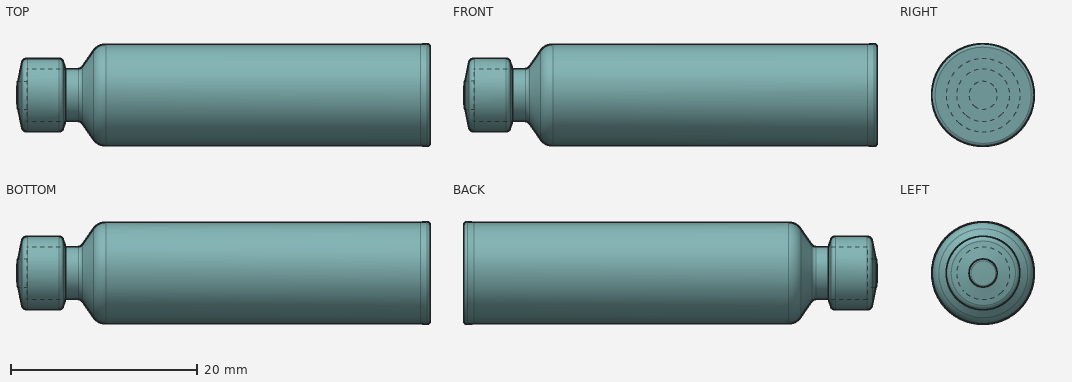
import cadquery as cq
import math

TOTAL_LENGTH = 44.45

SEPTUM_RADIUS = 1.5
SEPTUM_DOME_HEIGHT = 0.05
SEPTUM_EDGE_RADIUS = 0.18

CAP_RADIUS = 3.95
CAP_HOLE_EDGE_X = 0.15
CAP_FRONT_X = 0.6
CAP_FRONT_ROUND = 0.6
CAP_REAR_X = 4.9
CAP_REAR_ROUND = 0.5
CAP_END_X = 5.25

NECK_RADIUS = 2.85
NECK_FRONT_X = 1.05
NECK_ROUND = 0.58
SHOULDER_START_X = 6.9
SHOULDER_END_X = 8.7
SHOULDER_ROUND = 1.6
TUBE_RADIUS = 5.45
BEAD_LENGTH = 1.05
BEAD_RADIUS = 5.55
BEAD_ROUND = 0.35


def step_towards(start, target, distance):
    """Point at the given distance from start along the line to target."""
    ratio = distance / math.dist(start, target)
    return (start[0] + ratio * (target[0] - start[0]), start[1] + ratio * (target[1] - start[1]))


def turned(corners):
    """Revolve a closed outline of (x, radius, corner rounding) about the X axis."""
    outline = None
    for index, (x, radius, rounding) in enumerate(corners):
        corner = (x, radius)
        if rounding == 0:
            outline = outline.lineTo(*corner) if outline else cq.Workplane("XY").moveTo(*corner)
            continue
        before = corners[index - 1][:2]
        after = corners[index + 1][:2]
        angle_before = math.atan2(before[1] - radius, before[0] - x)
        angle_after = math.atan2(after[1] - radius, after[0] - x)
        half_angle = math.acos(math.cos(angle_before - angle_after)) / 2
        tangent_length = rounding / math.tan(half_angle)
        arc_start = step_towards(corner, before, tangent_length)
        arc_end = step_towards(corner, after, tangent_length)
        chord_middle = ((arc_start[0] + arc_end[0]) / 2, (arc_start[1] + arc_end[1]) / 2)
        arc_middle = step_towards(corner, chord_middle, rounding / math.sin(half_angle) - rounding)
        outline = outline.lineTo(*arc_start).threePointArc(arc_middle, arc_end)
    return outline.close().revolve(360, (0, 0, 0), (1, 0, 0))


def make_septum():
    """Button that fills the cap's front hole down to the neck."""
    return turned([
        (NECK_FRONT_X, 0, 0),
        (0, 0, 0),
        (SEPTUM_DOME_HEIGHT, SEPTUM_RADIUS, SEPTUM_EDGE_RADIUS),
        (NECK_FRONT_X, SEPTUM_RADIUS, 0),
    ])


def make_cap():
    """Cap with a front hole for the septum and a rear recess for the neck."""
    return turned([
        (NECK_FRONT_X, SEPTUM_RADIUS, 0),
        (CAP_HOLE_EDGE_X, SEPTUM_RADIUS, 0),
        (CAP_FRONT_X, CAP_RADIUS, CAP_FRONT_ROUND),
        (CAP_REAR_X, CAP_RADIUS, CAP_REAR_ROUND),
        (CAP_END_X, NECK_RADIUS, 0),
        (NECK_FRONT_X, NECK_RADIUS, 0),
    ])


def make_barrel():
    """Neck, shoulder, tube and end bead in one piece."""
    return turned([
        (NECK_FRONT_X, 0, 0),
        (NECK_FRONT_X, NECK_RADIUS, 0),
        (SHOULDER_START_X, NECK_RADIUS, NECK_ROUND),
        (SHOULDER_END_X, TUBE_RADIUS, SHOULDER_ROUND),
        (TOTAL_LENGTH - BEAD_LENGTH, TUBE_RADIUS, 0),
        (TOTAL_LENGTH, BEAD_RADIUS, BEAD_ROUND),
        (TOTAL_LENGTH, 0, 0),
    ])


septum = make_septum()
cap = make_cap()
barrel = make_barrel()

result = cq.Compound.makeCompound([septum.val(), cap.val(), barrel.val()])